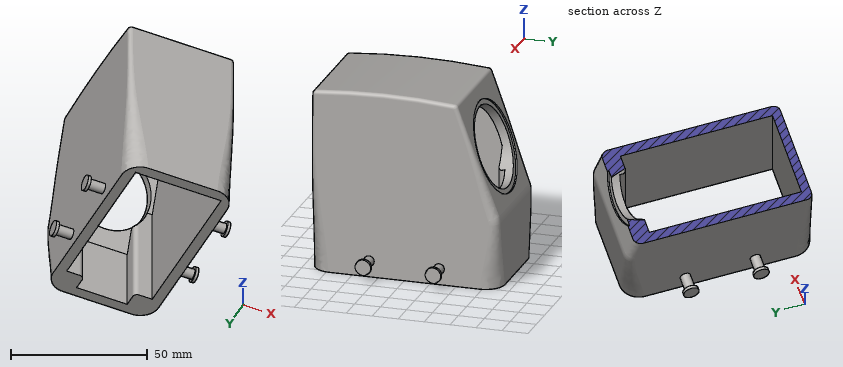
import cadquery as cq
import math

body_width = 43.0
body_length = 73.0
body_height = 72.0

wall_draft = math.radians(0.75)
slope_angle = math.radians(20.0)
knee_height = 26.8
knee_radius = 8.0
crown_radius = 275.0
crown_y = -6.7

top_fillet = 1.5
bottom_corner_radius = 7.5
front_middle_radius = 2.75
knee_corner_radius = 3.4
slope_middle_radius = 1.9
front_corner_radii = ((bottom_corner_radius, front_middle_radius, top_fillet),)
rear_corner_radii = (
    (bottom_corner_radius, knee_corner_radius),
    (knee_corner_radius, knee_corner_radius),
    (knee_corner_radius, slope_middle_radius, top_fillet),
)

wall = 4.1
pillar_face_y = 26.0
pillar_gap = 20.6
pillar_edge_radius = 1.8

entry_y = 28.3
entry_diameter = 32.0
seat_diameter = 36.0
seat_depth = 0.6
entry_depth = 17.0
entry_overshoot = 1.0

pin_span = 58.0
pin_spacing = 27.0
pin_height = 6.25
pin_diameter = 4.0
pin_head_diameter = 6.0
pin_head_thickness = 1.2

half_width = body_width / 2
half_length = body_length / 2
knee_y = half_length - knee_height * math.tan(wall_draft)
crown_centre_z = body_height - crown_radius


def crown_z(y):
    """Height of the arched top at a given Y."""
    return crown_centre_z + math.sqrt(crown_radius**2 - (y - crown_y) ** 2)


def slope_z(y):
    """Height of the cable-entry face at a given Y."""
    return knee_height + (knee_y - y) / math.tan(slope_angle)


def slope_top_y():
    """Y where the cable-entry face meets the arched top (line and circle)."""
    dir_y = -math.sin(slope_angle)
    dir_z = math.cos(slope_angle)
    from_y = knee_y - crown_y
    from_z = knee_height - crown_centre_z
    along = from_y * dir_y + from_z * dir_z
    gap = from_y**2 + from_z**2 - crown_radius**2
    return knee_y + dir_y * (math.sqrt(along**2 - gap) - along)


rear_top_y = slope_top_y()
front_top_z = crown_z(-half_length)
front_top_y = front_top_z * math.tan(wall_draft) - half_length


def make_block():
    """Solid side profile across the full width, with the knee rounded."""
    block = (
        cq.Workplane("YZ")
        .moveTo(-half_length, 0)
        .lineTo(half_length, 0)
        .lineTo(knee_y, knee_height)
        .lineTo(rear_top_y, crown_z(rear_top_y))
        .threePointArc((crown_y, body_height), (front_top_y, front_top_z))
        .close()
        .extrude(half_width, both=True)
    )
    knee_edge = cq.selectors.NearestToPointSelector((0, knee_y, knee_height))
    return block.edges(knee_edge).fillet(knee_radius)


shapes = cq.occ_impl.shapes


def set_radius_law(fillet, contour, index, radii):
    """Vary a fillet smoothly through radii spaced evenly along one edge, bottom to top."""
    edge = cq.Edge(fillet.Edge(contour, index))
    rises = edge.positionAt(0).z < edge.positionAt(1).z
    ordered = radii if rises else radii[::-1]
    law = shapes.TColgp_HArray1OfPnt2d(1, len(radii))
    for station, radius in enumerate(ordered):
        fraction = station / (len(radii) - 1)
        law.SetValue(station + 1, shapes.gp_Pnt2d(fraction, radius))
    fillet.SetRadius(law, contour, index)


def round_corners(block):
    """Round the four tall corners with radii that shrink with height."""
    fillet = shapes.BRepFilletAPI_MakeFillet(block.val().wrapped)
    for end, edge_radii in ((-half_length, front_corner_radii), (half_length, rear_corner_radii)):
        for side in (-half_width, half_width):
            corner = cq.selectors.NearestToPointSelector((side, end, knee_height / 2))
            edge = block.edges("not (|X or |Y)").edges(corner).val()
            fillet.Add(edge.wrapped)
            for index, radii in enumerate(edge_radii, start=1):
                set_radius_law(fillet, fillet.NbContours(), index, radii)
    return cq.Workplane(cq.Shape.cast(fillet.Shape()).Solids()[0])


def round_top(block):
    """Round the edges all around the arched top."""
    top = cq.selectors.NearestToPointSelector((0, crown_y, body_height))
    return block.faces(top).edges().fillet(top_fillet)


def make_cavity():
    """Hollow open at the bottom, one wall inside the block, without pillars."""
    front = wall - half_length
    rear = half_length - wall
    ceiling = crown_z(rear_top_y) - wall
    slope_shift = wall / math.cos(slope_angle)
    inner_knee_z = slope_z(rear + slope_shift)
    inner_top_y = rear - (ceiling - inner_knee_z) * math.tan(slope_angle)
    cavity = (
        cq.Workplane("YZ")
        .moveTo(front, 0)
        .lineTo(rear, 0)
        .lineTo(rear, inner_knee_z)
        .lineTo(inner_top_y, ceiling)
        .lineTo(front, ceiling)
        .close()
        .extrude(half_width - wall, both=True)
    )
    return cavity.cut(make_pillars())


def make_pillars():
    """Full-height pillars in the two rear corners of the hollow."""
    pillar_width = half_width - pillar_gap / 2
    pillar_length = half_length - pillar_face_y
    right = (
        cq.Workplane("XY")
        .box(pillar_width, pillar_length, body_height, centered=False)
        .edges("|Z and <X and <Y")
        .fillet(pillar_edge_radius)
        .translate((pillar_gap / 2, pillar_face_y, 0))
    )
    return right.union(right.mirror("YZ"))


def make_entry():
    """Cable entry bore with a shallow seat, square to the sloped face."""
    inward = cq.Vector(0, -math.cos(slope_angle), -math.sin(slope_angle))
    centre = cq.Vector(0, entry_y, slope_z(entry_y))
    start = centre - inward * entry_overshoot
    seat = cq.Solid.makeCylinder(seat_diameter / 2, seat_depth + entry_overshoot, start, inward)
    bore = cq.Solid.makeCylinder(entry_diameter / 2, entry_depth + entry_overshoot, start, inward)
    return cq.Workplane(seat).union(cq.Workplane(bore))


def make_pin(side, y):
    """Headed pin standing out from one side wall; side is -1 or +1."""
    outward = cq.Vector(side, 0, 0)
    root = cq.Vector(side * (half_width - wall / 2), y, pin_height)
    head_start = cq.Vector(side * (pin_span / 2 - pin_head_thickness), y, pin_height)
    shaft_length = (head_start - root).Length
    shaft = cq.Solid.makeCylinder(pin_diameter / 2, shaft_length, root, outward)
    head = cq.Solid.makeCylinder(pin_head_diameter / 2, pin_head_thickness, head_start, outward)
    return cq.Workplane(shaft).union(cq.Workplane(head))


result = round_top(round_corners(make_block()))
result = result.cut(make_cavity()).cut(make_entry())
for pin_side in (-1, 1):
    for pin_y in (-pin_spacing / 2, pin_spacing / 2):
        result = result.union(make_pin(pin_side, pin_y))